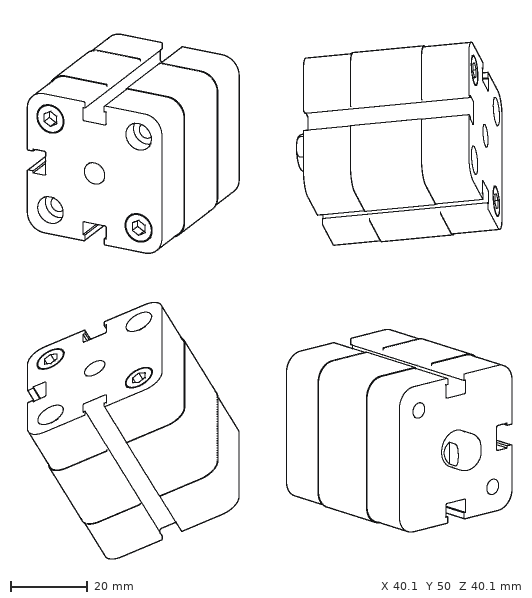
import cadquery as cq
import math

total_length = 50
rod_length = 5.5
body_length = total_length - rod_length
cover_length = 12.7
barrel_length = body_length - 2 * cover_length

barrel_width = 40.1
cover_width = 39.7
corner_radius = 5

slot_mouth_width = 5.6
slot_width = 6.8
slot_floor_offset = 14.4
slot_lip_offset = 18.1
slot_round = 0.4

corner_hole_offset = 13
mounting_hole_diameter = 4.15
counterbore_diameter = 7.5
counterbore_depth = 4.4
screw_recess_diameter = 8
screw_recess_depth = 4.5
screw_head_diameter = 7.5
hex_across_flats = 3.7
hex_depth = 3

centre_hole_diameter = 6
centre_hole_depth = 10

rod_diameter = 10
rod_tip_round = 1.35
flat_spacing = 8
flat_length = 3.5


def front_plane(y):
    """Sketch plane facing -Y: local x is X, local y is Z."""
    return cq.Workplane("XZ", origin=(0, y, 0))


def cylinder(x, z, diameter, y_start, length):
    return front_plane(y_start).center(x, z).circle(diameter / 2).extrude(-length)


def slot_cutter(outer_offset, y_start, length):
    """Top T-slot whose mouth flares out in quarter rounds to the outer face."""
    mouth = slot_mouth_width / 2
    flare = mouth + slot_round
    half = slot_width / 2
    floor_half = half - slot_round
    floor_side = slot_floor_offset + slot_round
    round_start = outer_offset - slot_round
    arc_mid = slot_round * (1 - math.sqrt(0.5))
    return (
        front_plane(y_start)
        .moveTo(-floor_half, slot_floor_offset)
        .lineTo(floor_half, slot_floor_offset)
        .threePointArc((half - arc_mid, slot_floor_offset + arc_mid), (half, floor_side))
        .lineTo(half, slot_lip_offset)
        .lineTo(mouth, slot_lip_offset)
        .lineTo(mouth, round_start)
        .threePointArc((mouth + arc_mid, outer_offset - arc_mid), (flare, outer_offset))
        .lineTo(-flare, outer_offset)
        .threePointArc((-mouth - arc_mid, outer_offset - arc_mid), (-mouth, round_start))
        .lineTo(-mouth, slot_lip_offset)
        .lineTo(-half, slot_lip_offset)
        .lineTo(-half, floor_side)
        .threePointArc((-half + arc_mid, slot_floor_offset + arc_mid), (-floor_half, slot_floor_offset))
        .close()
        .extrude(-length)
    )


def body_section(width, y_start, length):
    """Rounded square block with T-slots on its top, bottom and left sides."""
    section = front_plane(y_start).rect(width, width).extrude(-length)
    section = section.edges("|Y").fillet(corner_radius)
    cutter = slot_cutter(width / 2, y_start, length)
    for angle in (0, 180, -90):
        section = section.cut(cutter.rotate((0, 0, 0), (0, 1, 0), angle))
    return section


def mounting_hole(x, z):
    """Through hole with a counterbore in the front face."""
    through = cylinder(x, z, mounting_hole_diameter, 0, body_length)
    return through.union(cylinder(x, z, counterbore_diameter, 0, counterbore_depth))


def screw_head(x, z):
    """Flush socket head seated on the bottom of its recess, hexagon points up."""
    hex_diameter = hex_across_flats / math.cos(math.pi / 6)
    socket = (
        front_plane(0)
        .center(x, z)
        .transformed(rotate=(0, 0, 90))
        .polygon(6, hex_diameter)
        .extrude(-hex_depth)
    )
    return cylinder(x, z, screw_head_diameter, 0, screw_recess_depth).cut(socket)


def piston_rod():
    """Rod with a rounded tip and two flats that run out in 45 degree slopes."""
    rod = cylinder(0, 0, rod_diameter, body_length, rod_length)
    rod = rod.faces(">Y").edges().fillet(rod_tip_round)
    flat = flat_spacing / 2
    radius = rod_diameter / 2
    flat_start = total_length - flat_length
    flat_cutter = (
        cq.Workplane("XY")
        .moveTo(flat, total_length)
        .lineTo(flat, flat_start)
        .lineTo(radius, flat_start - (radius - flat))
        .lineTo(radius, total_length)
        .close()
        .extrude(radius, both=True)
    )
    return rod.cut(flat_cutter).cut(flat_cutter.mirror("YZ"))


result = (
    body_section(cover_width, 0, cover_length)
    .union(body_section(barrel_width, cover_length, barrel_length))
    .union(body_section(cover_width, cover_length + barrel_length, cover_length))
    .union(piston_rod())
    .cut(cylinder(0, 0, centre_hole_diameter, 0, centre_hole_depth))
)

for side in (-1, 1):
    x = side * corner_hole_offset
    result = result.cut(mounting_hole(x, x))
    result = result.cut(cylinder(x, -x, screw_recess_diameter, 0, screw_recess_depth))
    result = result.union(screw_head(x, -x))